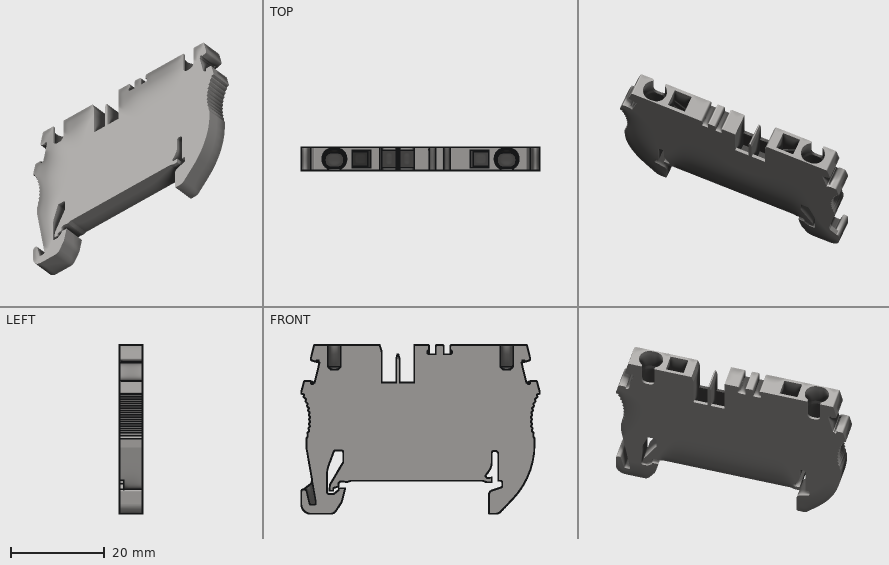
import cadquery as cq
import math

LENGTH = 50.82
THICKNESS = 5.0
HEIGHT = 36.0
FRONT_Y = -THICKNESS / 2
BACK_Y = THICKNESS / 2

HOOK_TOP_INSET = 2.75
SHELF_Z = 28.35
NOTCH_BOTTOM = (2.85, 27.95)
NOTCH_TOP = (3.88, 32.2)
GRIP_APEX_X = 1.93
GRIP_APEX_Z = 19.9
GRIP_RADIUS = 12.0
TOOTH_COUNT = 9
TOOTH_PITCH = 0.96
TOOTH_DEPTH = 0.3
FIRST_TOOTH_Z = 25.4
FLANK_INSET = 1.1
FLANK_BREAK_Z = 14.1
FLANK_SLOPE = 0.176

UNDERSIDE_Z = 7.05
LIP_Z = 6.75
FOOT_TIP_Z = 5.5
FOOT_SHOULDER_Z = 5.25
LEFT_SLOT_OUTER_X = 5.53
LEFT_SLOT_INNER_X = 8.93
LEFT_SLOT_TOP_Z = 13.5
LEFT_CATCH_X = 8.0
RIGHT_SLOT_INNER_X = 40.6
RIGHT_SLOT_OUTER_X = 41.93
RIGHT_SLOT_TOP_Z = 13.4
RIGHT_TOE_X = 39.96
RAIL_GROOVE_X = 42.79

BRIDGE_LEFT = 17.17
BRIDGE_RIGHT = 24.04
BRIDGE_FLARE_LEFT = 16.72
BRIDGE_FLARE_Z = 34.6
BRIDGE_FLOOR = HEIGHT - 8.0
BLADE_CENTRE = (BRIDGE_LEFT + BRIDGE_RIGHT) / 2
BLADE_THICKNESS = 0.8
BLADE_TIP_THICKNESS = 0.2
BLADE_SHOULDER_Z = 33.0
BLADE_TIP_Z = 34.0
BRIDGE_POCKET_WIDTH = 3.7
BRIDGE_POCKET_DEPTH = 6.0

MARKER_FLOOR = HEIGHT - 2.0
MARKER_WALL_LEFT = 27.27
MARKER_WALL_RIGHT = 31.72
MARKER_TAB_LEFT = 28.62
MARKER_TAB_RIGHT = 30.37
MARKER_LIP_RADIUS = 0.35

GROOVE_BACK_WALL = 0.5
MARKER_GROOVE_RADIUS = 0.42
MARKER_GROOVE_Z = 34.45
HOOK_GROOVE_RADIUS = 0.3
HOOK_GROOVES = ((3.5, 32.45), (2.35, 27.95))

BORE_INSET = 7.08
BORE_LENGTH = 5.17
BORE_WIDTH = 4.5
BORE_FLOOR = 30.74
BORE_LEDGE_WIDTH = 0.3
BORE_LEDGE_HEIGHT = 0.55
BORE_SHAFT_DEPTH = 4.0
BORE_SHAFT_TOP_CORNER = 1.85
BORE_SHAFT_FLOOR_LENGTH = 4.0
BORE_SHAFT_FLOOR_WIDTH = 3.06
BORE_SHAFT_FLOOR_CORNER = 1.2
BORE_SHAFT_FLOOR_Y = -0.24
WINDOW_WIDTH = 2.8
WINDOW_CORNER = 1.07
WINDOW_BACK_Y = -1.9

FUNNEL_INSET = 10.87
FUNNEL_LENGTH = 3.92
FUNNEL_WIDTH = 3.7
FUNNEL_DEPTH = 5.0
FUNNEL_FLOOR_SLOPE = 0.8
WIRE_SHAFT_LENGTH = 3.32
WIRE_SHAFT_WIDTH = 3.1
WIRE_SHAFT_EXTRA_DEPTH = 2.0

RELEASE_WEB = 1.0
RELEASE_FLOOR_Z = 1.98
WEB_TOP_Z = 7.19


def mirror_x(x):
    """X reflected to the other end of the part."""
    return LENGTH - x


def mirrored(corners):
    """Corners reflected to the other end, in reverse order."""
    return [(mirror_x(corner[0]), *corner[1:]) for corner in reversed(corners)]


def rounded_outline(corners):
    """Closed XZ outline from (x, z) or (x, z, radius) corners; the first one is sharp."""
    pieces = []
    for index, corner in enumerate(corners):
        x, z = corner[:2]
        radius = corner[2] if len(corner) > 2 else 0
        if not radius:
            pieces.append([(x, z)])
            continue
        before = cq.Vector(*corners[index - 1][:2])
        after = cq.Vector(*corners[(index + 1) % len(corners)][:2])
        here = cq.Vector(x, z)
        back = (before - here).normalized()
        ahead = (after - here).normalized()
        half_angle = back.getAngle(ahead) / 2
        setback = radius / math.tan(half_angle)
        start = here + back * setback
        end = here + ahead * setback
        middle = here + (back + ahead).normalized() * (radius / math.sin(half_angle) - radius)
        pieces.append([(point.x, point.y) for point in (start, middle, end)])
    outline = cq.Workplane("XZ").moveTo(*pieces[0][0])
    for piece in pieces[1:]:
        outline = outline.lineTo(*piece[0])
        if len(piece) > 1:
            outline = outline.threePointArc(*piece[1:])
    return outline.close()


def plate(corners, front=FRONT_Y, back=BACK_Y):
    """Outline extruded between two Y positions."""
    return rounded_outline(corners).extrude(back - front).translate((0, back, 0))


def block(x_min, x_max, width, z_min, z_max):
    """Box centred on the plate in Y."""
    return (
        cq.Workplane("XY")
        .box(x_max - x_min, width, z_max - z_min, centered=(False, True, False))
        .translate((x_min, 0, z_min))
    )


def grip_teeth():
    """Zigzag from the lowest tooth up, with its valleys on the concave grip arc."""
    centre_x = GRIP_APEX_X - GRIP_RADIUS
    corners = []
    for half_step in reversed(range(2 * TOOTH_COUNT)):
        z = FIRST_TOOTH_Z - half_step * TOOTH_PITCH / 2
        is_peak = half_step % 2 == 1
        radius = GRIP_RADIUS - (TOOTH_DEPTH if is_peak else 0)
        x = centre_x + math.sqrt(radius**2 - (z - GRIP_APEX_Z) ** 2)
        corners.append((x, z))
    return corners


def end_profile():
    """Left end from the flank up to the top face."""
    return [
        (FLANK_INSET, 16.0),
        (1.38, 16.6),
        (1.38, 16.95),
        *grip_teeth(),
        (0.0, 25.6),
        (0.0, 25.95),
        (0.63, SHELF_Z, 0.4),
        (1.9, SHELF_Z, 1.2),
        NOTCH_BOTTOM,
        NOTCH_TOP,
        (3.1, 32.4),
        (1.95, 32.75, 0.4),
        (HOOK_TOP_INSET, HEIGHT, 0.3),
    ]


def flank_x(z):
    """X of the left flank below its break, where it leans inward."""
    return FLANK_INSET + FLANK_SLOPE * (FLANK_BREAK_Z - z)


def left_foot():
    """Left rail foot from the underside, round the spring slot, to the flank."""
    return [
        (10.6, UNDERSIDE_Z),
        (9.74, LIP_Z),
        (9.07, 6.87),
        (LEFT_CATCH_X, 6.87, 0.4),
        (LEFT_CATCH_X, 5.85),
        (6.9, FOOT_TIP_Z),
        (6.83, 4.93),
        (5.95, 4.93),
        (6.14, 6.27),
        (LEFT_SLOT_INNER_X, 11.0),
        (LEFT_SLOT_INNER_X, LEFT_SLOT_TOP_Z, 0.35),
        (7.05, LEFT_SLOT_TOP_Z, 0.3),
        (LEFT_SLOT_OUTER_X, 9.4, 5.5),
        (LEFT_SLOT_OUTER_X, 4.3, 0.4),
        (6.96, 4.3),
        (LEFT_CATCH_X, 5.1),
        (LEFT_CATCH_X, FOOT_TIP_Z),
        (9.41, FOOT_TIP_Z),
        (8.7, 2.6, 3.0),
        (7.0, 0.0, 1.5),
        (0.0, 0.0, 2.15),
        (0.0, FOOT_SHOULDER_Z, 0.5),
        (0.55, FOOT_SHOULDER_Z),
        (2.1, 6.45),
        (flank_x(WEB_TOP_Z), WEB_TOP_Z),
        (FLANK_INSET, FLANK_BREAK_Z),
    ]


def right_foot():
    """Right rail foot from the flank, round the curved heel, to the underside."""
    return [
        (mirror_x(FLANK_INSET), 8.0, 17.0),
        (42.0, 0.0, 1.6),
        (RIGHT_TOE_X, 0.0, 0.3),
        (RIGHT_TOE_X, 4.8, 1.0),
        (RAIL_GROOVE_X, 5.75, 0.3),
        (RAIL_GROOVE_X, UNDERSIDE_Z, 0.3),
        (RIGHT_SLOT_OUTER_X, UNDERSIDE_Z),
        (RIGHT_SLOT_OUTER_X, RIGHT_SLOT_TOP_Z, 0.6),
        (RIGHT_SLOT_INNER_X, RIGHT_SLOT_TOP_Z, 0.4),
        (RIGHT_SLOT_INNER_X, 10.0, 3.0),
        (39.2, 8.05),
        (39.6, 7.65),
        (RIGHT_SLOT_INNER_X, 7.77),
        (RIGHT_SLOT_INNER_X, LIP_Z),
        (39.5, LIP_Z),
        (38.6, UNDERSIDE_Z),
    ]


def body():
    """Full plate outline, clockwise from the left flank."""
    corners = end_profile() + mirrored(end_profile()) + right_foot() + left_foot()
    return plate(corners)


def bridge_slot():
    """Slot with a flared left mouth, leaving the pointed blade standing."""
    slot = plate(
        [
            (BRIDGE_LEFT, BRIDGE_FLOOR),
            (BRIDGE_RIGHT, BRIDGE_FLOOR),
            (BRIDGE_RIGHT, HEIGHT),
            (BRIDGE_FLARE_LEFT, HEIGHT),
            (BRIDGE_LEFT, BRIDGE_FLARE_Z),
        ]
    )
    half = BLADE_THICKNESS / 2
    half_tip = BLADE_TIP_THICKNESS / 2
    blade = plate(
        [
            (BLADE_CENTRE - half, BRIDGE_FLOOR),
            (BLADE_CENTRE + half, BRIDGE_FLOOR),
            (BLADE_CENTRE + half, BLADE_SHOULDER_Z),
            (BLADE_CENTRE + half_tip, BLADE_TIP_Z),
            (BLADE_CENTRE - half_tip, BLADE_TIP_Z),
            (BLADE_CENTRE - half, BLADE_SHOULDER_Z),
        ]
    )
    pocket_bottom = BRIDGE_FLOOR - BRIDGE_POCKET_DEPTH
    left = block(BRIDGE_LEFT, BLADE_CENTRE - half, BRIDGE_POCKET_WIDTH, pocket_bottom, BRIDGE_FLOOR)
    right = block(BLADE_CENTRE + half, BRIDGE_RIGHT, BRIDGE_POCKET_WIDTH, pocket_bottom, BRIDGE_FLOOR)
    return slot.cut(blade).union(left).union(right)


def marker_slot(x_left, x_right):
    """Slot whose two top edges are rounded outward."""
    slot = plate([(x_left, MARKER_FLOOR), (x_right, MARKER_FLOOR), (x_right, HEIGHT), (x_left, HEIGHT)])
    lip_z = HEIGHT - MARKER_LIP_RADIUS
    lip_left = x_left - MARKER_LIP_RADIUS
    lip_right = x_right + MARKER_LIP_RADIUS
    mouth = plate([(lip_left, lip_z), (lip_right, lip_z), (lip_right, HEIGHT), (lip_left, HEIGHT)])
    for x in (lip_left, lip_right):
        rounding = cq.Workplane("XZ", origin=(x, BACK_Y, lip_z)).circle(MARKER_LIP_RADIUS)
        mouth = mouth.cut(rounding.extrude(THICKNESS))
    return slot.union(mouth)


def snap_groove(x, z, radius):
    """Round groove along Y, leaving a thin wall at the back face."""
    depth = THICKNESS - GROOVE_BACK_WALL
    return cq.Workplane("XZ", origin=(x, FRONT_Y + depth, z)).circle(radius).extrude(depth)


def screwdriver_bore(x):
    """Stadium mouth with a sloped ledge, a tapering shaft below and a window in the front face."""
    mouth = (
        cq.Workplane("XY", origin=(x, 0, BORE_FLOOR))
        .slot2D(BORE_LENGTH, BORE_WIDTH)
        .extrude(HEIGHT - BORE_FLOOR)
        .faces("<Z")
        .chamfer(BORE_LEDGE_HEIGHT, BORE_LEDGE_WIDTH)
    )
    top_length = BORE_LENGTH - 2 * BORE_LEDGE_WIDTH
    top_width = BORE_WIDTH - 2 * BORE_LEDGE_WIDTH
    shaft_top = cq.Sketch().rect(top_length, top_width).vertices().fillet(BORE_SHAFT_TOP_CORNER)
    shaft_floor = (
        cq.Sketch()
        .rect(BORE_SHAFT_FLOOR_LENGTH, BORE_SHAFT_FLOOR_WIDTH)
        .vertices()
        .fillet(BORE_SHAFT_FLOOR_CORNER)
        .moved(cq.Location((0, BORE_SHAFT_FLOOR_Y, -BORE_SHAFT_DEPTH)))
    )
    shaft = (
        cq.Workplane("XY", origin=(x, 0, BORE_FLOOR))
        .placeSketch(shaft_top, shaft_floor)
        .loft(ruled=True)
    )
    window = plate(
        [
            (x - WINDOW_WIDTH / 2, HEIGHT),
            (x - WINDOW_WIDTH / 2, BORE_FLOOR, WINDOW_CORNER),
            (x + WINDOW_WIDTH / 2, BORE_FLOOR, WINDOW_CORNER),
            (x + WINDOW_WIDTH / 2, HEIGHT),
        ],
        back=WINDOW_BACK_Y,
    )
    return mouth.union(shaft).union(window)


def sloped_pocket(length, width, depth):
    """Pocket from the top face, straight at the outer end, with a floor falling inward."""
    x_outer = FUNNEL_INSET
    x_inner = FUNNEL_INSET + length
    floor_z = HEIGHT - depth
    return plate(
        [
            (x_outer, floor_z),
            (x_inner, floor_z - FUNNEL_FLOOR_SLOPE * length),
            (x_inner, HEIGHT),
            (x_outer, HEIGHT),
        ],
        front=-width / 2,
        back=width / 2,
    )


def wire_funnel():
    """Left funnel, with the shaft flush with the outer wall of the mouth."""
    mouth = sloped_pocket(FUNNEL_LENGTH, FUNNEL_WIDTH, FUNNEL_DEPTH)
    shaft = sloped_pocket(WIRE_SHAFT_LENGTH, WIRE_SHAFT_WIDTH, FUNNEL_DEPTH + WIRE_SHAFT_EXTRA_DEPTH)
    return mouth.union(shaft)


def release_slot():
    """Slot in the front of the left foot, closed at the back by a thin web."""
    return plate(
        [
            (flank_x(WEB_TOP_Z), WEB_TOP_Z),
            (flank_x(RELEASE_FLOOR_Z), RELEASE_FLOOR_Z, 0.35),
            (1.85, RELEASE_FLOOR_Z, 0.3),
            (1.05, FOOT_SHOULDER_Z, 0.45),
            (0.0, FOOT_SHOULDER_Z),
            (0.0, WEB_TOP_Z),
        ],
        back=BACK_Y - RELEASE_WEB,
    )


part = body()
part = part.cut(bridge_slot())
part = part.cut(marker_slot(MARKER_WALL_LEFT, MARKER_TAB_LEFT))
part = part.cut(marker_slot(MARKER_TAB_RIGHT, MARKER_WALL_RIGHT))
for wall_x in (MARKER_WALL_LEFT, MARKER_WALL_RIGHT):
    part = part.cut(snap_groove(wall_x, MARKER_GROOVE_Z, MARKER_GROOVE_RADIUS))
for groove_x, groove_z in HOOK_GROOVES:
    for x in (groove_x, mirror_x(groove_x)):
        part = part.cut(snap_groove(x, groove_z, HOOK_GROOVE_RADIUS))
for x in (BORE_INSET, mirror_x(BORE_INSET)):
    part = part.cut(screwdriver_bore(x))
left_funnel = wire_funnel()
right_funnel = left_funnel.mirror("YZ", (LENGTH / 2, 0, 0))
part = part.cut(left_funnel).cut(right_funnel)
part = part.cut(release_slot())
result = part